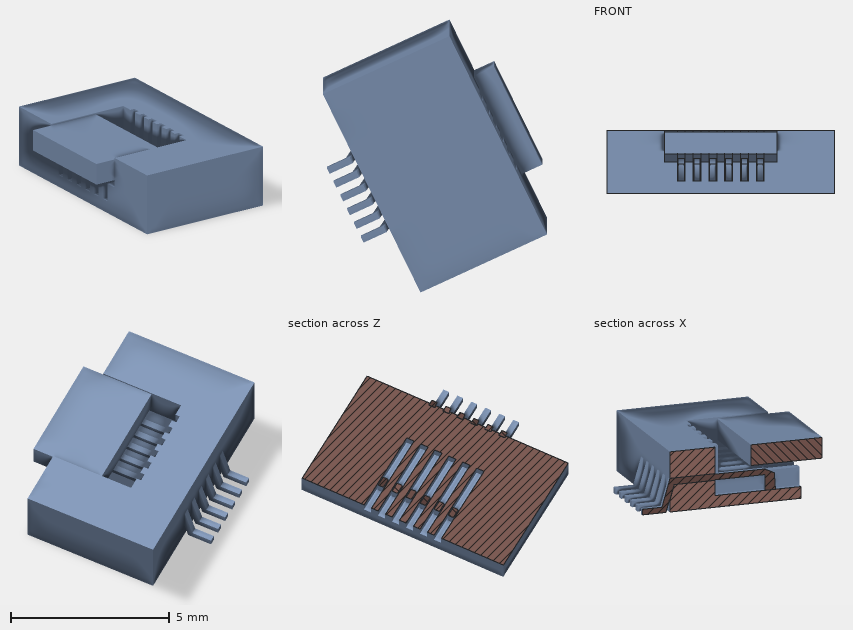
import cadquery as cq


HOUSING_WIDTH = 7.2
HOUSING_DEPTH = 4.435
HOUSING_HEIGHT = 2.0

POCKET_WIDTH = 3.55
POCKET_DEPTH = 2.75
POCKET_FLOOR = 1.0

SLOT_WIDTH = 0.25
SLOT_DEPTH = 2.9
SLOT_FLOOR = 0.4

LID_LENGTH = 2.405
LID_HEIGHT = 0.7
LID_OVERHANG = 0.7
LID_RECESS = 0.05
LID_BOTTOM = HOUSING_HEIGHT - LID_RECESS - LID_HEIGHT

CONTACT_COUNT = 6
CONTACT_ROW_LENGTH = 2.5
CONTACT_PITCH = CONTACT_ROW_LENGTH / (CONTACT_COUNT - 1)
CONTACT_WIDTH = 0.2
STRIP_THICKNESS = 0.2
BEAM_TOP = 1.11
BEAM_BOTTOM = BEAM_TOP - STRIP_THICKNESS
FOOT_REACH = 0.93
FOOT_END = HOUSING_DEPTH + FOOT_REACH
FOOT_TOP_LENGTH = 0.66
FOOT_BOTTOM_LENGTH = 0.81
LEG_RUN = 0.27

TIP_FRONT = 0.865
TIP_LEAN = 0.035
BEVEL_LENGTH = 0.34
BEVEL_HEIGHT = 0.165

CONTACT_POSITIONS = [
    index * CONTACT_PITCH - CONTACT_ROW_LENGTH / 2 for index in range(CONTACT_COUNT)
]


def block(width, y_front, y_back, z_bottom, z_top, x_center=0.0):
    """Rectangular block centred on x_center."""
    return (
        cq.Workplane("XY")
        .box(width, y_back - y_front, z_top - z_bottom, centered=(True, False, False))
        .translate((x_center, y_front, z_bottom))
    )


def make_contact(x_center):
    """Bent strip: downturned tip, straight beam, sloping leg and flat solder foot."""
    tip_face_top = TIP_FRONT + TIP_LEAN
    leg_foot_front = FOOT_END - FOOT_BOTTOM_LENGTH
    leg_foot_back = FOOT_END - FOOT_TOP_LENGTH
    outline = [
        (TIP_FRONT, SLOT_FLOOR),
        (tip_face_top, BEAM_TOP - BEVEL_HEIGHT),
        (tip_face_top + BEVEL_LENGTH, BEAM_TOP),
        (leg_foot_back - LEG_RUN, BEAM_TOP),
        (leg_foot_back, STRIP_THICKNESS),
        (FOOT_END, STRIP_THICKNESS),
        (FOOT_END, 0.0),
        (leg_foot_front, 0.0),
        (leg_foot_front - LEG_RUN, BEAM_BOTTOM),
        (tip_face_top + BEVEL_LENGTH, BEAM_BOTTOM),
        (tip_face_top + BEVEL_LENGTH, SLOT_FLOOR),
    ]
    return (
        cq.Workplane("YZ")
        .polyline(outline)
        .close()
        .extrude(CONTACT_WIDTH / 2, both=True)
        .translate((x_center, 0, 0))
    )


def make_lid():
    """Plain bar that closes the front part of the pocket and stands out of the housing."""
    return block(
        POCKET_WIDTH,
        -LID_OVERHANG,
        LID_LENGTH - LID_OVERHANG,
        LID_BOTTOM,
        LID_BOTTOM + LID_HEIGHT,
    )


def make_housing(contacts):
    """Block with the cable pocket, the contact slots and fitted passages for the contacts."""
    body = block(HOUSING_WIDTH, 0, HOUSING_DEPTH, 0, HOUSING_HEIGHT)
    body = body.cut(block(POCKET_WIDTH, 0, POCKET_DEPTH, POCKET_FLOOR, HOUSING_HEIGHT))
    for x_center in CONTACT_POSITIONS:
        body = body.cut(block(SLOT_WIDTH, 0, SLOT_DEPTH, SLOT_FLOOR, HOUSING_HEIGHT, x_center))
    for contact in contacts:
        body = body.cut(contact)
    return body


contacts = [make_contact(x_center) for x_center in CONTACT_POSITIONS]
lid = make_lid()
housing = make_housing(contacts)

result = cq.Compound.makeCompound(
    [housing.val(), lid.val(), *[contact.val() for contact in contacts]]
)